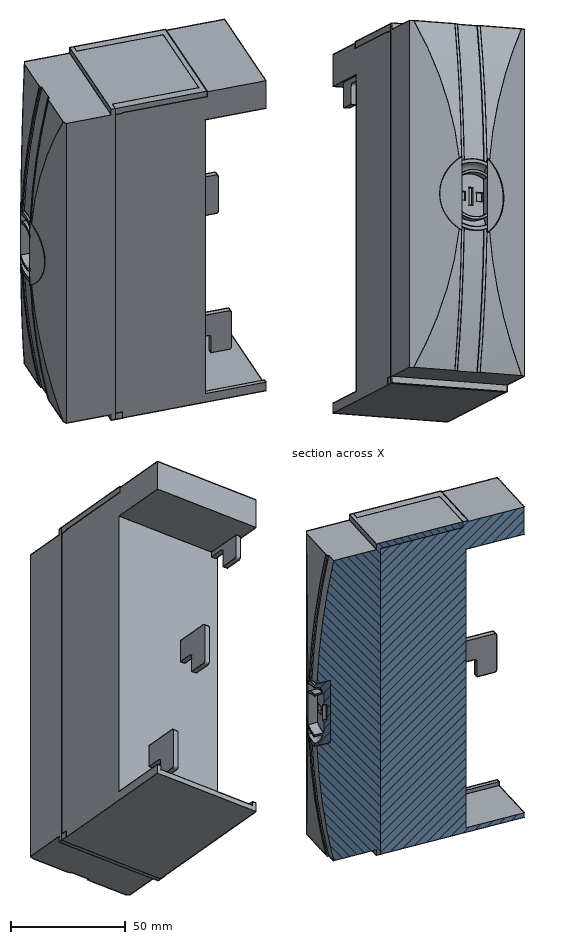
import cadquery as cq
import math


width = 54.0
depth = 102.0
height = 160.2
half_width = width / 2
mid_z = height / 2
overlap = 1.6

seam_y = 32.2
flange_front_y = 30.3
cover_inset = 2.9
side_edge_y = 9.5
cheek_angle = 24.2
crown_y = 0.2
crown_end_y = 8.7
tongue_width = 46.2
tongue_rear_y = 72.3
strip_half_widths = (6.0, 4.6)
strip_depths = (0.2, 0.8)

roof_drop = 0.5
pad_rear_y = 74.8
back_face_y = 74.0
roof_underside_z = 145.5
floor_top_z = 4.5
floor_lip = 2.1
floor_recess = 2.0
side_step = 0.2
pad_band_height = 2.9
lug_length = 3.4
lug_height = 3.2

hook_middle_x = -7.7
hook_pitch_x = 17.0
hook_pitch_z = 60.0
hook_thickness = 2.4
hook_rear_y = 92.0
hook_tip_length = 9.6
hook_height = 19.9
hook_arm_height = 10.7
hook_middle_tip_z = 74.0
hook_round = 1.3

knob_depth = 8.0
knob_radius = 17.6
knob_taper = 35.0
knob_slope = 22.0
channel_half = strip_half_widths[0]
rim_y = 0.2
rim_radius = 15.9
rim_inner_radius = 14.3
groove_diameter = 8.0
ring_outer_radius = 11.0
ring_inner_radius = 10.0
well_y = 4.6
pocket_depth = 1.6
bar_width = 2.0
bar_height = 8.0
window_width = 3.0
window_height = 4.0
window_offset = 4.0


def block(x, y, z):
    """Box between the given (low, high) limits along X, Y and Z."""
    size = (x[1] - x[0], y[1] - y[0], z[1] - z[0])
    return cq.Workplane("XY").box(*size, centered=False).translate((x[0], y[0], z[0]))


def turned(points):
    """Solid of revolution about the knob axis from (radius, y) points."""
    return cq.Workplane("XY").polyline(points).close().revolve(360, (0, 0), (0, 1)).translate((0, 0, mid_z))



crown_half = mid_z - cover_inset
crown_rise = crown_end_y - crown_y
crown_radius = (crown_half**2 + crown_rise**2) / (2 * crown_rise)
ridge_half = half_width - side_edge_y / math.tan(math.radians(cheek_angle))


def cover_body():
    """Cover body: side profile with a crowned front, trimmed by the two sloped cheeks."""
    low = cover_inset
    high = height - cover_inset
    crowned = (
        cq.Workplane("YZ")
        .moveTo(seam_y, low)
        .lineTo(crown_end_y, low)
        .threePointArc((crown_y, mid_z), (crown_end_y, high))
        .lineTo(seam_y, high)
        .close()
        .extrude(half_width, both=True)
    )
    cheeks = (
        cq.Workplane("XY")
        .polyline([
            (-half_width, seam_y), (-half_width, side_edge_y), (-ridge_half, 0),
            (ridge_half, 0), (half_width, side_edge_y), (half_width, seam_y),
        ])
        .close()
        .extrude(height)
    )
    return crowned.intersect(cheeks)


def front_strip(half, sink):
    """Cutter for a strip of constant depth that follows the crown."""
    ring = (
        cq.Workplane("YZ", origin=(0, crown_y + crown_radius, mid_z))
        .circle(crown_radius + overlap)
        .circle(crown_radius - sink)
        .extrude(half, both=True)
    )
    return ring.intersect(block((-half, half), (-overlap, seam_y - overlap), (0, height)))


tongue_limits = (
    (-tongue_width / 2, tongue_width / 2),
    (seam_y, tongue_rear_y),
    (height - cover_inset, height),
)


def make_cover():
    cover = cover_body()
    for half, sink in zip(strip_half_widths, strip_depths):
        cover = cover.cut(front_strip(half, sink))
    flange = block((-half_width, half_width), (flange_front_y, seam_y), (0, height))
    return cover.union(flange).union(block(*tongue_limits)).cut(knob_seat())



knob_channel = block((-channel_half, channel_half), (0, knob_depth), (0, height))


def knob_seat():
    """Opening for the knob: tapered on both sides, cylindrical across the middle."""
    rear_radius = knob_radius - knob_depth * math.tan(math.radians(knob_taper))
    cone = turned([(0, 0), (knob_radius, 0), (rear_radius, knob_depth), (0, knob_depth)])
    core = turned([(0, 0), (rim_radius, 0), (rim_radius, knob_depth), (0, knob_depth)])
    return cone.cut(knob_channel).union(core.intersect(knob_channel))


def knob_front():
    """Prism bounded ahead by two sloped grips and the channel rim between them."""
    grip_fall = (knob_radius - channel_half) * math.tan(math.radians(knob_slope))
    return (
        cq.Workplane("XY")
        .polyline([
            (-knob_radius, knob_depth), (-knob_radius, grip_fall), (-channel_half, 0),
            (-channel_half, rim_y), (channel_half, rim_y),
            (channel_half, 0), (knob_radius, grip_fall), (knob_radius, knob_depth),
        ])
        .close()
        .extrude(height)
    )


def knob_recesses():
    """Round groove and well across the channel, with three pockets in the well floor."""
    groove_center = (rim_inner_radius - groove_diameter / 2, rim_y)
    groove = (
        cq.Workplane("XY")
        .center(*groove_center)
        .circle(groove_diameter / 2)
        .revolve(360, (-groove_center[0], 0), (-groove_center[0], 1))
        .translate((0, 0, mid_z))
    )
    ring = turned([
        (0, -knob_depth), (ring_outer_radius, -knob_depth),
        (ring_outer_radius, knob_depth), (0, knob_depth),
    ])
    groove = groove.cut(ring)
    well = turned([(0, 0), (ring_inner_radius, 0), (ring_inner_radius, well_y), (0, well_y)])
    recesses = groove.union(well).intersect(knob_channel)
    pockets = [
        (0, bar_width, bar_height),
        (-window_offset, window_width, window_height),
        (window_offset, window_width, window_height),
    ]
    for x, pocket_width, pocket_height in pockets:
        recesses = recesses.union(block(
            (x - pocket_width / 2, x + pocket_width / 2),
            (well_y, well_y + pocket_depth),
            (mid_z - pocket_height / 2, mid_z + pocket_height / 2),
        ))
    return recesses


def make_knob():
    return knob_seat().intersect(knob_front()).cut(knob_recesses())



def make_hook(step):
    """Contact hook; step counts positions from the middle one, up and towards -X."""
    tip_z = hook_middle_tip_z + step * hook_pitch_z
    top_z = tip_z + hook_height
    arm_z = top_z - hook_arm_height
    inner_y = hook_rear_y - hook_tip_length
    hook = (
        cq.Workplane("YZ", origin=(hook_middle_x - step * hook_pitch_x, 0, 0))
        .polyline([
            (back_face_y, top_z), (hook_rear_y, top_z), (hook_rear_y, tip_z),
            (inner_y, tip_z), (inner_y, arm_z), (back_face_y, arm_z),
        ])
        .close()
        .extrude(hook_thickness / 2, both=True)
    )
    inner_corner = (hook_middle_x - step * hook_pitch_x, inner_y, arm_z)
    hook = hook.edges("|X and >Y").fillet(hook_round)
    return hook.edges(cq.selectors.NearestToPointSelector(inner_corner)).fillet(hook_round)



def make_housing(hooks):
    inner_half = half_width - side_step
    roof_z = height - roof_drop
    sides = (-half_width, half_width)
    housing = block((-inner_half, inner_half), (seam_y, depth), (0, roof_z))
    housing = housing.union(block(sides, (seam_y, pad_rear_y), (height - pad_band_height, height)))
    for lug_z in (0, height - lug_height):
        lug_y = (seam_y, seam_y + lug_length)
        housing = housing.union(block(sides, lug_y, (lug_z, lug_z + lug_height)))
    rear_y = (back_face_y, depth)
    housing = housing.cut(block(sides, rear_y, (floor_top_z, roof_underside_z)))
    recess_half = half_width - floor_lip
    housing = housing.cut(
        block((-recess_half, recess_half), rear_y, (floor_top_z - floor_recess, floor_top_z))
    )
    housing = housing.cut(block(*tongue_limits))
    for hook in hooks:
        housing = housing.cut(hook)
    return housing


hooks = [make_hook(step) for step in (-1, 0, 1)]
housing = make_housing(hooks)
cover = make_cover()
knob = make_knob()

result = cq.Compound.makeCompound([
    housing.val(),
    cover.val(),
    knob.val(),
    *[hook.val() for hook in hooks],
])